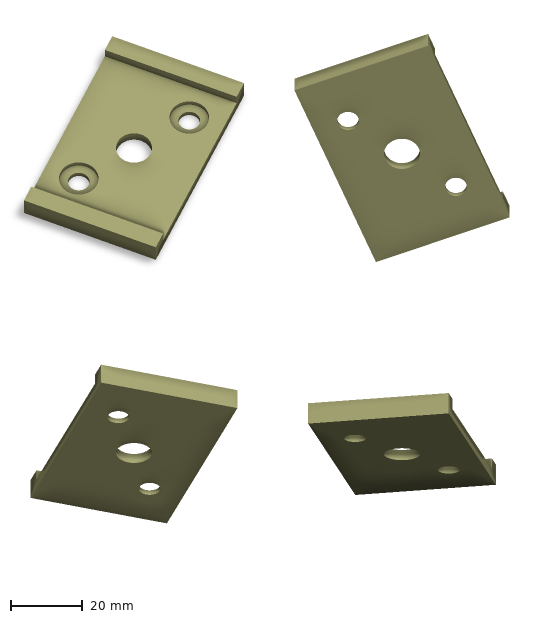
import cadquery as cq

length_x = 40.01
width_y = 61.25
height = 6.0
floor_thickness = 3.0
channel_width = 51.0

center_hole_diameter = 10.0
screw_hole_diameter = 6.0
counterbore_diameter = 11.0
counterbore_depth = 1.5
screw_offset_x = 9.9
screw_offset_y = 15.7


def channel_plate():
    """Plate with a raised rail along each Y edge."""
    plate = cq.Workplane("XY").box(length_x, width_y, height, centered=(True, True, False))
    channel = (
        cq.Workplane("XY", origin=(0, 0, floor_thickness))
        .box(length_x, channel_width, height - floor_thickness, centered=(True, True, False))
    )
    return plate.cut(channel)


def cut_holes(plate):
    """Central through hole and two diagonally opposite counterbored screw holes."""
    floor = cq.Workplane("XY", origin=(0, 0, floor_thickness))
    center_hole = floor.circle(center_hole_diameter / 2).extrude(-floor_thickness)
    screw_points = [(side * screw_offset_x, side * screw_offset_y) for side in (-1, 1)]
    screw_holes = floor.pushPoints(screw_points).circle(screw_hole_diameter / 2).extrude(-floor_thickness)
    counterbores = floor.pushPoints(screw_points).circle(counterbore_diameter / 2).extrude(-counterbore_depth)
    return plate.cut(center_hole).cut(screw_holes).cut(counterbores)


result = cut_holes(channel_plate())